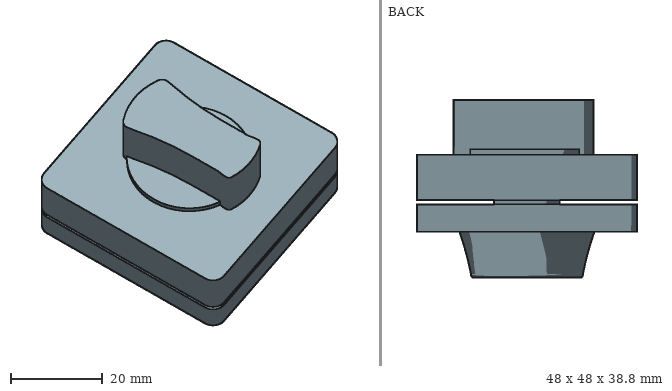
import cadquery as cq

plate_width = 48.0
plate_depth = 47.95
plate_corner_radius = 3.0
lower_plate_height = 6.0
upper_plate_height = 9.95

boss_diameter = 14.4
boss_height = 0.9

flange_diameter = 27.35
flange_height = 1.15
grip_height = 11.95

wide_end_tip_x = -14.55
wide_end_edge = (-13.2, 6.2)
wide_corner_mid = (-12.6, 7.15)
wide_corner_end = (-11.5, 7.65)
waist_start = (-9.95, 7.4)

waist_arc_mid = (-3.4, 6.3)
waist_half_width = 5.8
waist_straight_start_x = 4.6
waist_straight_end_x = 11.55

flare_mid = (12.15, 5.85)
flare_end = (12.7, 6.0)
narrow_corner_start = (13.85, 6.1)
narrow_corner_mid = (14.6, 5.95)
narrow_end_edge = (15.0, 5.5)
narrow_end_tip_x = 16.1

cone_height = 10.0
cone_top_radius = 14.75
cone_mid_radius = 13.4
cone_mid_depth = 4.25
cone_bottom_radius = 12.25
cone_rim_height = 0.75
cone_face_radius = 11.75
cone_rim_mid_radius = 12.05
cone_rim_mid_height = 0.2

upper_plate_base = lower_plate_height + boss_height
turn_knob_base = upper_plate_base + upper_plate_height


def make_plate(height, base_z):
    """Square plate with rounded vertical corners."""
    return (
        cq.Workplane("XY", origin=(0, 0, base_z))
        .rect(plate_width, plate_depth)
        .extrude(height)
        .edges("|Z")
        .fillet(plate_corner_radius)
    )


def make_lower_plate():
    """Plate with the round spacing boss on its top face."""
    boss = (
        cq.Workplane("XY", origin=(0, 0, lower_plate_height))
        .circle(boss_diameter / 2)
        .extrude(boss_height)
    )
    return make_plate(lower_plate_height, 0).union(boss)


def mirrored(point):
    """Point on the opposite (-Y) side of the grip."""
    return (point[0], -point[1])


def make_grip():
    """Waisted grip, symmetric about the XZ plane."""
    waist_straight_start = (waist_straight_start_x, waist_half_width)
    waist_straight_end = (waist_straight_end_x, waist_half_width)
    return (
        cq.Workplane("XY", origin=(0, 0, turn_knob_base))
        .moveTo(*wide_end_edge)
        .threePointArc(wide_corner_mid, wide_corner_end)
        .lineTo(*waist_start)
        .threePointArc(waist_arc_mid, waist_straight_start)
        .lineTo(*waist_straight_end)
        .threePointArc(flare_mid, flare_end)
        .lineTo(*narrow_corner_start)
        .threePointArc(narrow_corner_mid, narrow_end_edge)
        .threePointArc((narrow_end_tip_x, 0), mirrored(narrow_end_edge))
        .threePointArc(mirrored(narrow_corner_mid), mirrored(narrow_corner_start))
        .lineTo(*mirrored(flare_end))
        .threePointArc(mirrored(flare_mid), mirrored(waist_straight_end))
        .lineTo(*mirrored(waist_straight_start))
        .threePointArc(mirrored(waist_arc_mid), mirrored(waist_start))
        .lineTo(*mirrored(wide_corner_end))
        .threePointArc(mirrored(wide_corner_mid), mirrored(wide_end_edge))
        .threePointArc((wide_end_tip_x, 0), wide_end_edge)
        .close()
        .extrude(grip_height)
    )


def make_turn_knob():
    """Grip standing on the upper plate, joined with its round flange."""
    flange = (
        cq.Workplane("XY", origin=(0, 0, turn_knob_base))
        .circle(flange_diameter / 2)
        .extrude(flange_height)
    )
    return make_grip().union(flange)


def make_cone_knob():
    """Revolved knob that narrows downward to a rounded rim."""
    return (
        cq.Workplane("XZ")
        .moveTo(0, 0)
        .lineTo(cone_top_radius, 0)
        .threePointArc(
            (cone_mid_radius, -cone_mid_depth),
            (cone_bottom_radius, cone_rim_height - cone_height),
        )
        .threePointArc(
            (cone_rim_mid_radius, cone_rim_mid_height - cone_height),
            (cone_face_radius, -cone_height),
        )
        .lineTo(0, -cone_height)
        .close()
        .revolve(360, (0, 0, 0), (0, 1, 0))
    )


lower_plate = make_lower_plate()
upper_plate = make_plate(upper_plate_height, upper_plate_base)
turn_knob = make_turn_knob()
cone_knob = make_cone_knob()

result = cq.Compound.makeCompound(
    [lower_plate.val(), upper_plate.val(), turn_knob.val(), cone_knob.val()]
)